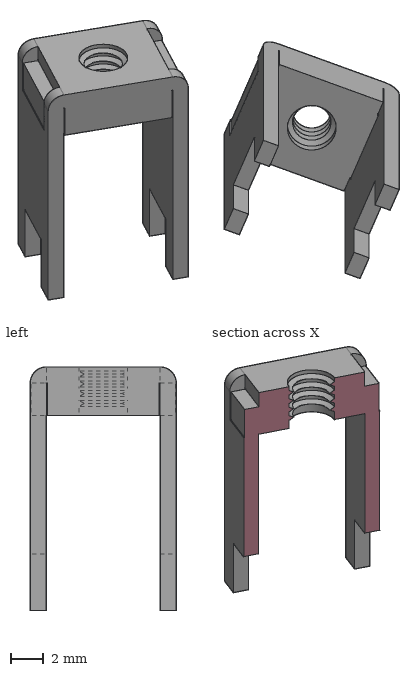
import cadquery as cq
import math

width = 6.5
depth = 9.0
height = 15.0
sheet = 1.0
bend_radius = sheet
inner_depth = depth - 2 * sheet
sheet_bottom = height - sheet

notch_width = 3.46
notch_height = 3.5

clearance = 0.06
nut_height = 2.0
nut_bottom = sheet_bottom - nut_height
window_width = 4.68
tab_width = window_width - 2 * clearance
tab_span = depth - 2 * clearance
nut_depth = inner_depth - 2 * clearance

major_radius = 3.0 / 2
minor_radius = 2.35 / 2
pitch = 0.6
first_crest_depth = 0.45
flank_height = (major_radius - minor_radius) * math.tan(math.radians(30))


def box(size_x, size_y, bottom, top):
    """Block centred on the Z axis between two heights."""
    return (
        cq.Workplane("XY")
        .workplane(offset=bottom)
        .rect(size_x, size_y)
        .extrude(top - bottom)
    )


def make_bracket():
    outer = box(width, depth, 0, height).edges("|X and >Z").fillet(bend_radius)
    bracket = outer.cut(box(width, inner_depth, 0, sheet_bottom))
    bracket = bracket.cut(box(notch_width, depth, 0, notch_height))
    window = box(window_width, depth, nut_bottom, height)
    window = window.cut(box(window_width, inner_depth, nut_bottom, height))
    return bracket.cut(window)


def make_nut():
    body = box(width, nut_depth, nut_bottom, sheet_bottom)
    tabs = box(tab_width, tab_span, nut_bottom, sheet_bottom)
    return body.union(tabs)


def make_threaded_hole():
    """Revolved cutter whose profile has one sharp crest per pitch."""
    profile = [(0, height), (major_radius, height)]
    crest = height - first_crest_depth
    while crest - flank_height > nut_bottom:
        profile.append((major_radius, crest + flank_height))
        profile.append((minor_radius, crest))
        profile.append((major_radius, crest - flank_height))
        crest -= pitch
    profile.append((major_radius, nut_bottom))
    profile.append((0, nut_bottom))
    return cq.Workplane("XZ").polyline(profile).close().revolve(360, (0, 0), (0, 1))


result = make_bracket().union(make_nut()).cut(make_threaded_hole())